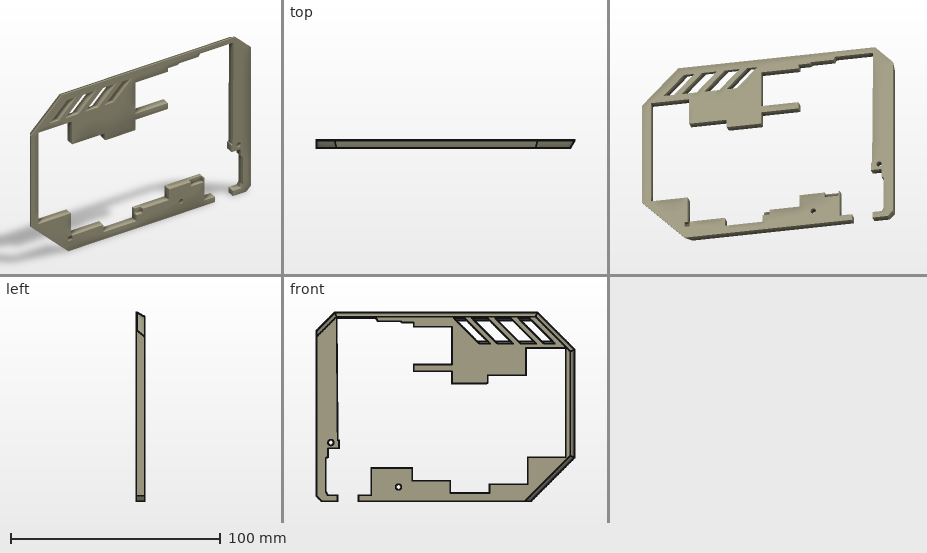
import cadquery as cq

WIDTH = 123.0
HEIGHT = 90.0
DEPTH = 4.0

CUT_TOP_LEFT = 8.7
CUT_TOP_RIGHT = 17.7
CUT_BOTTOM_RIGHT = 20.9
CUT_BOTTOM_LEFT = 2.6

LIP = 0.5
BEVEL_ANGLE = 30.0
OVERHANG = 24.6

GAP_LEFT = 10.1
GAP_RIGHT = 20.0
FOOT_TOP = 3.0
OPENING_TOP = 87.2
OPENING_RIGHT = 118.7
LATCH_LEFT = 46.4
PANEL_LEFT = 64.6
RAIL_STEP = 85.7
RAIL_BOTTOM = 85.1
BLOCK_LEFT = 26.1
BLOCK_RIGHT = 45.8
BLOCK_TOP = 16.0
STEP_TOP = 10.0
STEP_RIGHT = 63.8
BAR_TOP = 4.0
SHELF_LEFT = 82.4
SHELF_RIGHT = 100.6
SHELF_TOP = 8.2

HOLE_DIAMETER = 2.6
HOLE_CENTRES = [(6.9, 28.0), (39.1, 6.9)]

SLOT_TOP = 87.3
SLOT_BOTTOM = 75.0
SLOT_FLARE = 1.17
SLOTS = [(65.4, 5.0), (74.0, 7.4), (85.1, 7.4), (96.2, 5.2)]

RECESS_FRONT = 1.8
RECESS_HEIGHT = 2.5
RECESSES = [
    (26.6, 33.5, BLOCK_TOP),
    (60.4, STEP_RIGHT, STEP_TOP),
    (99.8, 102.2, SHELF_TOP),
]


def plate(points, y_front=0.0, y_back=DEPTH, taper=0.0):
    """Flat piece between two Y levels, drawn in XZ; it narrows towards the front by the taper angle."""
    sketch = cq.Workplane("XZ", origin=(0, y_back, 0)).polyline(points).close()
    return sketch.extrude(y_back - y_front, taper=taper)


def frame():
    outer = [
        (GAP_RIGHT, 0),
        (WIDTH - CUT_BOTTOM_RIGHT, 0),
        (WIDTH, CUT_BOTTOM_RIGHT),
        (WIDTH, HEIGHT - CUT_TOP_RIGHT),
        (WIDTH - CUT_TOP_RIGHT, HEIGHT),
        (CUT_TOP_LEFT, HEIGHT),
        (0, HEIGHT - CUT_TOP_LEFT),
        (0, CUT_BOTTOM_LEFT),
        (CUT_BOTTOM_LEFT, 0),
        (GAP_LEFT, 0),
    ]
    left_post = [
        (GAP_LEFT, FOOT_TOP),
        (5.4, FOOT_TOP),
        (4.5, 4.7),
        (4.5, 20.7),
        (5.5, 21.0),
        (5.5, 25.2),
        (10.8, 25.2),
        (10.8, 29.2),
        (10.2, 29.2),
        (9.7, OPENING_TOP),
    ]
    top_rail = [
        (28.4, OPENING_TOP),
        (29.3, RAIL_STEP),
        (40.2, RAIL_STEP),
        (40.8, RAIL_BOTTOM),
        (LATCH_LEFT, RAIL_BOTTOM),
        (LATCH_LEFT, 83.1),
        (PANEL_LEFT, 83.1),
    ]
    latch_and_panel = [
        (PANEL_LEFT, 65.3),
        (LATCH_LEFT, 65.3),
        (LATCH_LEFT, 62.0),
        (PANEL_LEFT, 62.0),
        (PANEL_LEFT, 56.1),
        (80.7, 56.1),
        (81.7, 56.5),
        (81.7, 60.0),
        (99.9, 60.0),
        (99.9, 73.1),
        (OPENING_RIGHT, 73.1),
    ]
    bottom_rail = [
        (OPENING_RIGHT, 21.2),
        (SHELF_RIGHT, 21.2),
        (SHELF_RIGHT, SHELF_TOP),
        (SHELF_LEFT, SHELF_TOP),
        (SHELF_LEFT, BAR_TOP),
        (STEP_RIGHT, BAR_TOP),
        (STEP_RIGHT, STEP_TOP),
        (BLOCK_RIGHT, STEP_TOP),
        (BLOCK_RIGHT, BLOCK_TOP),
        (BLOCK_LEFT, BLOCK_TOP),
        (BLOCK_LEFT, FOOT_TOP),
        (GAP_RIGHT, FOOT_TOP),
    ]
    return plate(outer + left_post + top_rail + latch_and_panel + bottom_rail)


def bevel_envelope():
    """Space inside the bevelled edges, left and bottom sides moved clear of the frame."""
    points = [
        (-OVERHANG, -OVERHANG),
        (WIDTH - CUT_BOTTOM_RIGHT - OVERHANG, -OVERHANG),
        (WIDTH, CUT_BOTTOM_RIGHT),
        (WIDTH, HEIGHT - CUT_TOP_RIGHT),
        (WIDTH - CUT_TOP_RIGHT, HEIGHT),
        (CUT_TOP_LEFT, HEIGHT),
        (-OVERHANG, HEIGHT - CUT_TOP_LEFT - OVERHANG),
    ]
    lip = plate(points, y_front=DEPTH - LIP)
    return lip.union(plate(points, y_back=DEPTH - LIP, taper=BEVEL_ANGLE))


def slots():
    """Slots with 45 degree sides, whose top and bottom walls flare over the front half of the depth."""
    fall = SLOT_TOP - SLOT_BOTTOM
    flare_profile = [
        (0, SLOT_BOTTOM),
        (DEPTH / 2, SLOT_BOTTOM + SLOT_FLARE),
        (DEPTH, SLOT_BOTTOM + SLOT_FLARE),
        (DEPTH, SLOT_TOP - SLOT_FLARE),
        (DEPTH / 2, SLOT_TOP - SLOT_FLARE),
        (0, SLOT_TOP),
    ]
    flare = cq.Workplane("YZ").polyline(flare_profile).close().extrude(WIDTH)
    slanted = cq.Workplane("XZ")
    for left, width in SLOTS:
        slanted = slanted.union(plate([
            (left, SLOT_TOP),
            (left + width, SLOT_TOP),
            (left + width + fall, SLOT_BOTTOM),
            (left + fall, SLOT_BOTTOM),
        ]))
    return slanted.intersect(flare)


def holes():
    return cq.Workplane("XZ").pushPoints(HOLE_CENTRES).circle(HOLE_DIAMETER / 2).extrude(-DEPTH)


def back_recesses():
    recesses = cq.Workplane("XZ")
    for left, right, top in RECESSES:
        bottom = top - RECESS_HEIGHT
        corners = [(left, bottom), (right, bottom), (right, top), (left, top)]
        recesses = recesses.union(plate(corners, y_front=RECESS_FRONT))
    return recesses


result = frame().intersect(bevel_envelope()).cut(slots()).cut(holes()).cut(back_recesses())